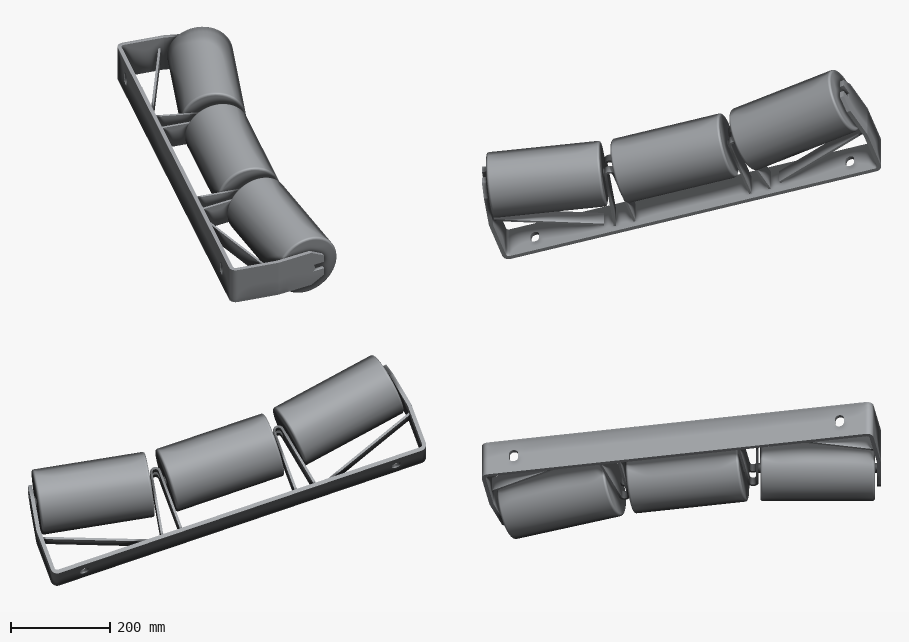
import cadquery as cq
import math

FRAME_LENGTH = 800.0
FRAME_HEIGHT = 80.0
FRAME_THICKNESS = 8.0
BEND_RADIUS = 14.0
ARM_BEND_Y = 100.0
ARM_LEAN_LENGTH = 102.0
TIP_CHAMFER_LENGTH = 29.0
TIP_CHAMFER_DEPTH = 16.0
MOUNT_SLOT_X = 333.0
MOUNT_SLOT_WIDTH = 18.0
MOUNT_SLOT_HEIGHT = 28.0

TILT = 10.0
ROLLER_DIAMETER = 133.0
ROLLER_LENGTH = 230.0
ROLLER_EDGE_RADIUS = 5.0
MIDDLE_ROLLER_Y = 125.0
SIDE_ROLLER_X = 262.0
SIDE_ROLLER_Y = 149.0
SHAFT_DIAMETER = 20.0
SHAFT_FLATS = 16.0
JOURNAL_LENGTH = 2.0

BRACKET_THICKNESS = 5.0
BRACKET_HEIGHT = 51.0
BRACKET_GAP = 5.0
ARCH_RADIUS = 11.0
ARCH_Y = 141.0

BRACE_THICKNESS = 5.0
BRACE_HEIGHT = 32.0
BRACE_ANGLE = 21.0
BRACE_ARM_Y = 92.0

HALF_LENGTH = FRAME_LENGTH / 2
ARM_INNER_X = -HALF_LENGTH + FRAME_THICKNESS
SIN_TILT = math.sin(math.radians(TILT))
COS_TILT = math.cos(math.radians(TILT))
ARCH_X = -ROLLER_LENGTH / 2 - BRACKET_GAP - ARCH_RADIUS

MIDDLE_CENTRE = (0, MIDDLE_ROLLER_Y, 0)
SIDE_CENTRE = (-SIDE_ROLLER_X, SIDE_ROLLER_Y, 0)
MIDDLE_AXIS = (1, 0, 0)
SIDE_AXIS = (COS_TILT, -SIN_TILT, 0)


def axis_distance(point, centre, axis):
    """Position of an XY point along a roller axis, measured from the roller centre."""
    return (point[0] - centre[0]) * axis[0] + (point[1] - centre[1]) * axis[1]


ARCH_CENTRE = (ARCH_X, ARCH_Y)
ARM_BEND = (-HALF_LENGTH, ARM_BEND_Y)
SIDE_TO_ARCH = axis_distance(ARCH_CENTRE, SIDE_CENTRE, SIDE_AXIS)
SIDE_TO_ARM = axis_distance(ARM_BEND, SIDE_CENTRE, SIDE_AXIS)
MIDDLE_TO_ARCH = axis_distance(ARCH_CENTRE, MIDDLE_CENTRE, MIDDLE_AXIS)


def axis_plane(centre, axis, distance):
    """Plane square to a roller axis: local X points along -Z, local Y points away from the base."""
    origin = (centre[0] + axis[0] * distance, centre[1] + axis[1] * distance, 0)
    return cq.Plane(origin=origin, xDir=(0, 0, -1), normal=axis)


def mirrored(body):
    return body.mirror("YZ")


def shaft_bar(centre, axis, start, end):
    """Round bar with two flats, running between two positions along the roller axis."""
    half_flat = SHAFT_FLATS / 2
    half_arc = math.sqrt((SHAFT_DIAMETER / 2) ** 2 - half_flat ** 2)
    return (
        cq.Workplane(axis_plane(centre, axis, start))
        .moveTo(-half_flat, -half_arc)
        .threePointArc((0, -SHAFT_DIAMETER / 2), (half_flat, -half_arc))
        .lineTo(half_flat, half_arc)
        .threePointArc((0, SHAFT_DIAMETER / 2), (-half_flat, half_arc))
        .close()
        .extrude(end - start)
    )


def shaft_notch(centre, axis, start, end):
    """Cutter for an open slot that the flatted shaft drops into."""
    opening = (
        cq.Workplane(axis_plane(centre, axis, start))
        .rect(SHAFT_FLATS, ROLLER_DIAMETER / 2, centered=(True, False))
        .extrude(end - start)
    )
    return shaft_bar(centre, axis, start, end).union(opening)


def make_roller(centre, axis, shaft_start, shaft_end):
    """Roller with rounded rims and its shaft: round beside the roller, flatted at the ends."""
    shell = (
        cq.Workplane(axis_plane(centre, axis, -ROLLER_LENGTH / 2))
        .circle(ROLLER_DIAMETER / 2)
        .extrude(ROLLER_LENGTH)
        .edges()
        .fillet(ROLLER_EDGE_RADIUS)
    )
    journals = (
        cq.Workplane(axis_plane(centre, axis, -ROLLER_LENGTH / 2 - JOURNAL_LENGTH))
        .circle(SHAFT_DIAMETER / 2)
        .extrude(ROLLER_LENGTH + 2 * JOURNAL_LENGTH)
    )
    return shell.union(journals).union(shaft_bar(centre, axis, shaft_start, shaft_end))


def arm_tip_chamfers():
    """Cutters that taper the two corners of the left arm's tip."""
    tip = cq.Vector(-HALF_LENGTH, ARM_BEND_Y, 0) + cq.Vector(SIN_TILT, COS_TILT, 0) * ARM_LEAN_LENGTH
    plane = cq.Plane(origin=tip.toTuple(), xDir=(0, 0, -1), normal=SIDE_AXIS)
    half_height = FRAME_HEIGHT / 2
    cutters = cq.Workplane(plane)
    for side in (-1, 1):
        cutters = (
            cutters.moveTo(side * half_height, 0)
            .lineTo(side * (half_height - TIP_CHAMFER_DEPTH), 0)
            .lineTo(side * half_height, -TIP_CHAMFER_LENGTH)
            .close()
        )
    return cutters.extrude(FRAME_THICKNESS * 2, both=True)


def round_bend(bar, corner, radius):
    """Round the upright edge nearest to a corner point."""
    return bar.edges("|Z").edges(cq.NearestToPointSelector(corner)).fillet(radius)


def make_frame():
    """Half of the bar with its arm, slot and notch, joined to its mirror image."""
    tip_x = -HALF_LENGTH + ARM_LEAN_LENGTH * SIN_TILT
    tip_y = ARM_BEND_Y + ARM_LEAN_LENGTH * COS_TILT
    inner_bend_y = ARM_BEND_Y - FRAME_THICKNESS * math.tan(math.radians(TILT / 2))
    half_bar = (
        cq.Workplane("XY", origin=(0, 0, -FRAME_HEIGHT / 2))
        .moveTo(0, 0)
        .lineTo(-HALF_LENGTH, 0)
        .lineTo(-HALF_LENGTH, ARM_BEND_Y)
        .lineTo(tip_x, tip_y)
        .lineTo(tip_x + FRAME_THICKNESS * COS_TILT, tip_y - FRAME_THICKNESS * SIN_TILT)
        .lineTo(ARM_INNER_X, inner_bend_y)
        .lineTo(ARM_INNER_X, FRAME_THICKNESS)
        .lineTo(0, FRAME_THICKNESS)
        .close()
        .extrude(FRAME_HEIGHT)
    )
    outer_bends = [(-HALF_LENGTH, 0, 0), (-HALF_LENGTH, ARM_BEND_Y, 0)]
    inner_bends = [(ARM_INNER_X, FRAME_THICKNESS, 0), (ARM_INNER_X, inner_bend_y, 0)]
    for bend in outer_bends:
        half_bar = round_bend(half_bar, bend, BEND_RADIUS)
    for bend in inner_bends:
        half_bar = round_bend(half_bar, bend, BEND_RADIUS - FRAME_THICKNESS)
    arm_notch = shaft_notch(SIDE_CENTRE, SIDE_AXIS, SIDE_TO_ARM, -ROLLER_LENGTH / 2)
    mount_slot = (
        cq.Workplane("XZ")
        .center(-MOUNT_SLOT_X, 0)
        .slot2D(MOUNT_SLOT_HEIGHT, MOUNT_SLOT_WIDTH, 90)
        .extrude(-FRAME_THICKNESS)
    )
    half_bar = half_bar.cut(arm_tip_chamfers()).cut(arm_notch).cut(mount_slot)
    return half_bar.union(mirrored(half_bar))


def make_bracket():
    """Left bracket: upright leg at the middle roller, leaning leg at the side roller."""
    inner_radius = ARCH_RADIUS - BRACKET_THICKNESS

    def leaning_tangent(radius):
        return (ARCH_X - radius * COS_TILT, ARCH_Y + radius * SIN_TILT)

    def leaning_foot(radius):
        x, y = leaning_tangent(radius)
        return (x - (y - FRAME_THICKNESS) * SIN_TILT / COS_TILT, FRAME_THICKNESS)

    strip = (
        cq.Workplane("XY", origin=(0, 0, -BRACKET_HEIGHT / 2))
        .moveTo(*leaning_foot(ARCH_RADIUS))
        .lineTo(*leaning_tangent(ARCH_RADIUS))
        .threePointArc((ARCH_X, ARCH_Y + ARCH_RADIUS), (ARCH_X + ARCH_RADIUS, ARCH_Y))
        .lineTo(ARCH_X + ARCH_RADIUS, FRAME_THICKNESS)
        .lineTo(ARCH_X + inner_radius, FRAME_THICKNESS)
        .lineTo(ARCH_X + inner_radius, ARCH_Y)
        .threePointArc((ARCH_X, ARCH_Y + inner_radius), leaning_tangent(inner_radius))
        .lineTo(*leaning_foot(inner_radius))
        .close()
        .extrude(BRACKET_HEIGHT)
    )
    middle_notch = shaft_notch(MIDDLE_CENTRE, MIDDLE_AXIS, MIDDLE_TO_ARCH, -ROLLER_LENGTH / 2)
    side_notch = shaft_notch(SIDE_CENTRE, SIDE_AXIS, ROLLER_LENGTH / 2, SIDE_TO_ARCH)
    return strip.cut(middle_notch).cut(side_notch)


def make_brace():
    """Left brace, flush against the arm, with the lower corner of its square-cut end on the base."""
    slope = math.radians(BRACE_ANGLE)
    lower_arm_y = BRACE_ARM_Y - BRACE_THICKNESS / math.cos(slope)
    lower_end_x = ARM_INNER_X + (lower_arm_y - FRAME_THICKNESS) / math.tan(slope)
    upper_end_x = lower_end_x + BRACE_THICKNESS * math.sin(slope)
    upper_end_y = FRAME_THICKNESS + BRACE_THICKNESS * math.cos(slope)
    return (
        cq.Workplane("XY", origin=(0, 0, -BRACE_HEIGHT / 2))
        .moveTo(ARM_INNER_X, BRACE_ARM_Y)
        .lineTo(upper_end_x, upper_end_y)
        .lineTo(lower_end_x, FRAME_THICKNESS)
        .lineTo(ARM_INNER_X, lower_arm_y)
        .close()
        .extrude(BRACE_HEIGHT)
    )


frame = make_frame()
brackets = [make_bracket(), mirrored(make_bracket())]
braces = [make_brace(), mirrored(make_brace())]

middle_shaft_end = ROLLER_LENGTH / 2 + BRACKET_GAP + BRACKET_THICKNESS
side_shaft_end = SIDE_TO_ARCH - ARCH_RADIUS + BRACKET_THICKNESS
side_roller = make_roller(SIDE_CENTRE, SIDE_AXIS, SIDE_TO_ARM, side_shaft_end)
rollers = [
    make_roller(MIDDLE_CENTRE, MIDDLE_AXIS, -middle_shaft_end, middle_shaft_end),
    side_roller,
    mirrored(side_roller),
]

bodies = [frame] + brackets + braces + rollers
result = cq.Compound.makeCompound([body.val() for body in bodies])